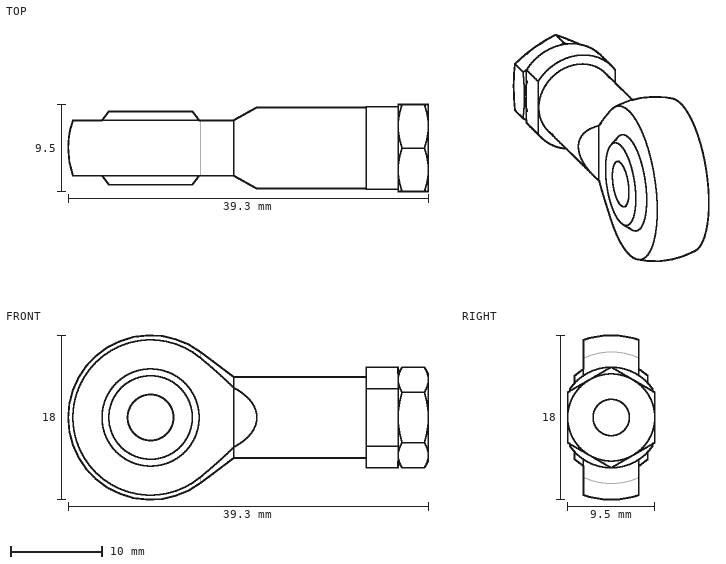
import cadquery as cq
import math

overall_length = 39.3
head_radius = 9.0
head_thickness = 6.05
tangent_x = 5.42

shank_radius = 8.9 / 2
ramp_end_x = 11.6

boss_width = 8.0
boss_base_radius = 5.3
boss_face_radius = 4.55
eye_bore_diameter = 5.0

nut_across_flats = 9.5
nut_thickness = 3.3
nut_bore_diameter = 3.95
nut_chamfer_angle = 30.0

collar_length = 3.5
collar_flats = 9.05

nut_end_x = overall_length - head_radius
nut_start_x = nut_end_x - nut_thickness
collar_start_x = nut_start_x - collar_length
nut_corner_radius = nut_across_flats / math.sqrt(3)
collar_radius = nut_corner_radius

tangent_angle = math.acos(tangent_x / head_radius)
tangent_radius = head_radius * math.sin(tangent_angle)
neck_end_x = (head_radius - shank_radius * math.sin(tangent_angle)) / math.cos(tangent_angle)


def revolve_about_x(profile):
    return profile.close().revolve(360, (0, 0, 0), (1, 0, 0))


def make_blank():
    """Spherical head, conical neck and shank, turned about X."""
    profile = (
        cq.Workplane("XY")
        .moveTo(-head_radius, 0)
        .threePointArc((0, head_radius), (tangent_x, tangent_radius))
        .lineTo(neck_end_x, shank_radius)
        .lineTo(nut_start_x, shank_radius)
        .lineTo(nut_start_x, 0)
    )
    return revolve_about_x(profile)


def make_flattening_envelope():
    """Parallel head faces that ramp out to the full shank."""
    half = head_thickness / 2
    far_side = [
        (-head_radius, half),
        (neck_end_x, half),
        (ramp_end_x, shank_radius),
        (nut_start_x, shank_radius),
    ]
    near_side = [(x, -y) for x, y in reversed(far_side)]
    return cq.Workplane("XY").polyline(far_side + near_side).close().extrude(head_radius, both=True)


def make_collar():
    """Round wrench collar with two flats facing +Y and -Y."""
    disc = cq.Workplane("YZ", origin=(collar_start_x, 0, 0)).circle(collar_radius).extrude(collar_length)
    flats = cq.Workplane("XY").box(2 * overall_length, collar_flats, 2 * collar_radius)
    return disc.intersect(flats)


def make_bosses():
    """Boss through the eye, tapered where it stands out on each side."""
    half_width = boss_width / 2
    half_head = head_thickness / 2
    return (
        cq.Workplane("XY")
        .moveTo(0, -half_width)
        .lineTo(boss_face_radius, -half_width)
        .lineTo(boss_base_radius, -half_head)
        .lineTo(boss_base_radius, half_head)
        .lineTo(boss_face_radius, half_width)
        .lineTo(0, half_width)
        .close()
        .revolve(360, (0, 0, 0), (0, 1, 0))
    )


def make_rod_end():
    body = make_blank().intersect(make_flattening_envelope())
    body = body.union(make_collar()).union(make_bosses())
    eye_bore = cq.Workplane("XZ").circle(eye_bore_diameter / 2).extrude(boss_width, both=True)
    return body.cut(eye_bore)


def make_lock_nut():
    """Hexagon nut with flats facing +Y and -Y, and corners chamfered at both ends."""
    hexagon = (
        cq.Workplane("YZ", origin=(nut_start_x, 0, 0))
        .transformed(rotate=(0, 0, 90))
        .polygon(6, 2 * nut_corner_radius)
        .circle(nut_bore_diameter / 2)
        .extrude(nut_thickness)
    )
    face_radius = nut_across_flats / 2
    chamfer_depth = (nut_corner_radius - face_radius) * math.tan(math.radians(nut_chamfer_angle))
    chamfer_profile = (
        cq.Workplane("XY")
        .moveTo(nut_start_x, 0)
        .lineTo(nut_start_x, face_radius)
        .lineTo(nut_start_x + chamfer_depth, nut_corner_radius)
        .lineTo(nut_end_x - chamfer_depth, nut_corner_radius)
        .lineTo(nut_end_x, face_radius)
        .lineTo(nut_end_x, 0)
    )
    return hexagon.intersect(revolve_about_x(chamfer_profile))


rod_end = make_rod_end()
lock_nut = make_lock_nut()
result = cq.Compound.makeCompound([rod_end.solids().val(), lock_nut.solids().val()])